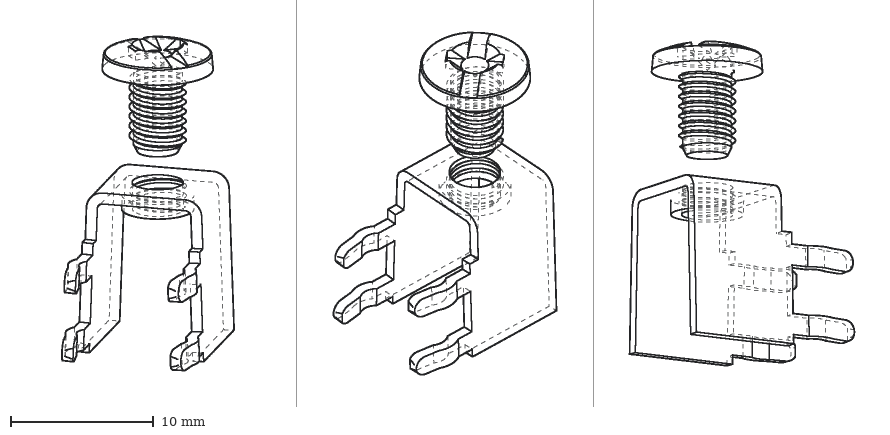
import cadquery as cq
import math

clip_height = 11.53
sheet = 0.8
splay = 2.0
foot_half_width = 4.56
bend_outer = 1.2
bend_inner = bend_outer - sheet
back_y = 3.6
top_front_y = -3.55
leg_front_y = -4.35
shoulder_z = 8.0

prong_width = 1.52
prong_pitch = 5.0
prong_rows = 2
prong_root = 0.8
lower_prong_z = 1.4
prong_tip_y = -9.45
bulge_start_y = -5.62
bulge_peak_y = -6.5
bulge_end_y = -7.51
bulge_height = 0.285
bulge_end_height = 0.09
inner_bulge_start_y = -5.92
inner_bulge_end_y = -7.38
prong_slant = 8.0

boss_radius = 2.53
boss_drop = 1.94
boss_fillet = 0.2

thread_pitch = 0.7
thread_flank = 35.0
overlap = 0.05

hole_radius = 1.79
hole_thread_radius = 2.0
hole_thread_drop = 0.225
hole_thread_turns = 2
hole_thread_angle = 0.0

screw_top = 21.62
head_height = 1.8
head_radius = 3.9
rim_radius = 3.8
rim_drop = 0.72
dome_edge_radius = 3.69
dome_sphere = 9.1

screw_length = 7.8
shank_radius = 1.72
neck_fillet = 0.2
tip_radius = 1.44
tip_length = 0.55
screw_thread_radius = 2.0
screw_thread_drop = 2.15
screw_thread_turns = 7

recess_angle = 40.6
recess_radius = 1.8
recess_depth = 0.7
drill_radius = 0.97
drill_depth = 1.0
slot_width = 1.24
arm_width = 1.2
arm_reach = 2.01


def left_thread(root, crest, turns, bottom_z, angle):
    """V-shaped left-hand helical thread from the root radius to the crest radius.

    The crest may lie outside the root (a ridge) or the root may be the wall of a hole (a groove).
    The lower end of the helix sits at bottom_z, in the direction given by angle.
    """
    height = crest - root
    sunk_root = root - overlap
    half_base = (height + overlap) * math.tan(math.radians(thread_flank))
    path = cq.Wire.makeHelix(thread_pitch, turns * thread_pitch, root, lefthand=True)
    profile = (
        cq.Workplane("XZ")
        .polyline([(sunk_root, -half_base), (crest, 0), (sunk_root, half_base)])
        .close()
    )
    thread = profile.sweep(cq.Workplane(path), isFrenet=True)
    return thread.rotate((0, 0, 0), (0, 0, 1), angle).translate((0, 0, bottom_z))


lean = math.radians(splay)
bend_z = clip_height - bend_outer
leg_length = (bend_z + bend_inner * math.sin(lean)) / math.cos(lean)
bend_x = foot_half_width - bend_outer * math.cos(lean) - leg_length * math.sin(lean)


def prong(mid_z):
    """Bulged prong along -Y on an upright leg whose outer face lies at X = 0."""
    slant = math.radians(prong_slant)
    root_y = leg_front_y + prong_root
    tip_outer_x = bulge_end_height + (prong_tip_y - bulge_end_y) * math.tan(slant)
    tip_inner_x = tip_outer_x - sheet * math.cos(slant)
    tip_inner_y = prong_tip_y + sheet * math.sin(slant)
    inner_bulge_end_x = tip_inner_x + (inner_bulge_end_y - tip_inner_y) * math.tan(slant)
    half = prong_width / 2
    strip = (
        cq.Workplane("XY")
        .moveTo(0, root_y)
        .lineTo(0, bulge_start_y)
        .threePointArc((bulge_height, bulge_peak_y), (bulge_end_height, bulge_end_y))
        .lineTo(tip_outer_x, prong_tip_y)
        .lineTo(tip_inner_x, tip_inner_y)
        .lineTo(inner_bulge_end_x, inner_bulge_end_y)
        .threePointArc((bulge_height - sheet, bulge_peak_y), (-sheet, inner_bulge_start_y))
        .lineTo(-sheet, root_y)
        .close()
        .extrude(half, both=True)
    )
    round_y = prong_tip_y + half
    rounded_outline = (
        cq.Workplane("YZ")
        .moveTo(root_y, -half)
        .lineTo(round_y, -half)
        .threePointArc((prong_tip_y, 0), (round_y, half))
        .lineTo(root_y, half)
        .close()
        .extrude(2 * sheet, both=True)
    )
    return strip.intersect(rounded_outline).translate((0, 0, mid_z))


def leg():
    """Right-hand leg with its prongs, leaning outward about the bend axis."""
    foot_z = bend_z - leg_length
    plate = (
        cq.Workplane("YZ")
        .polyline([
            (back_y, bend_z), (back_y, foot_z), (leg_front_y, foot_z),
            (leg_front_y, shoulder_z), (top_front_y, shoulder_z), (top_front_y, bend_z),
        ])
        .close()
        .extrude(-sheet)
    )
    for row in range(prong_rows):
        plate = plate.union(prong(lower_prong_z + row * prong_pitch))
    upright = plate.translate((bend_x + bend_outer, 0, 0))
    return upright.rotate((bend_x, 0, bend_z), (bend_x, -1, bend_z), splay)


def bend():
    """Right-hand bend joining the top plate to a leg."""
    def polar(radius, degrees):
        angle = math.radians(degrees)
        return (bend_x + radius * math.cos(angle), bend_z + radius * math.sin(angle))

    middle = 45 + splay / 2
    return (
        cq.Workplane("XZ", origin=(0, back_y, 0))
        .moveTo(*polar(bend_outer, splay))
        .threePointArc(polar(bend_outer, middle), polar(bend_outer, 90))
        .lineTo(*polar(bend_inner, 90))
        .threePointArc(polar(bend_inner, middle), polar(bend_inner, splay))
        .close()
        .extrude(back_y - top_front_y)
    )


top_plate = (
    cq.Workplane("XY", origin=(0, 0, clip_height - sheet))
    .rect(2 * bend_x, back_y - top_front_y)
    .extrude(sheet)
    .translate((0, (back_y + top_front_y) / 2, 0))
)
right_side = bend().union(leg())
clip = top_plate.union(right_side).union(right_side.mirror("YZ"))


def boss():
    """Extruded collar under the top plate, flared where it meets the sheet."""
    under_z = clip_height - sheet
    flare = boss_radius + boss_fillet
    knee = boss_fillet * (1 - math.sqrt(0.5))
    return (
        cq.Workplane("XZ")
        .moveTo(0, under_z)
        .lineTo(flare, under_z)
        .threePointArc((boss_radius + knee, under_z - knee), (boss_radius, under_z - boss_fillet))
        .lineTo(boss_radius, clip_height - boss_drop)
        .lineTo(0, clip_height - boss_drop)
        .close()
        .revolve()
    )


groove = left_thread(
    hole_radius,
    hole_thread_radius,
    hole_thread_turns,
    clip_height - hole_thread_drop - hole_thread_turns * thread_pitch,
    hole_thread_angle,
)
clip = clip.union(boss())
clip = clip.cut(cq.Workplane("XY").circle(hole_radius).extrude(clip_height))
clip = clip.cut(groove)

seat_z = screw_top - head_height
shank_end_z = screw_top - screw_length
rim_z = screw_top - rim_drop
floor_z = screw_top - recess_depth


def blank():
    """Unthreaded screw: domed head, shank and tapered tip."""
    dome_center_z = screw_top - math.sqrt(dome_sphere**2 - recess_radius**2)

    def dome_z(radius):
        return dome_center_z + math.sqrt(dome_sphere**2 - radius**2)

    knee = neck_fillet * (1 - math.sqrt(0.5))
    half_edge = dome_edge_radius / 2
    return (
        cq.Workplane("XZ")
        .moveTo(0, shank_end_z)
        .lineTo(tip_radius, shank_end_z)
        .lineTo(shank_radius, shank_end_z + tip_length)
        .lineTo(shank_radius, seat_z - neck_fillet)
        .threePointArc((shank_radius + knee, seat_z - knee), (shank_radius + neck_fillet, seat_z))
        .lineTo(head_radius, seat_z)
        .lineTo(rim_radius, rim_z)
        .lineTo(dome_edge_radius, dome_z(dome_edge_radius))
        .threePointArc((half_edge, dome_z(half_edge)), (0, dome_z(0)))
        .close()
        .revolve()
    )


def recess():
    """Conical drive recess with a full-width slot and two short cross arms."""
    cut_height = 2 * recess_depth
    mouth_slope = (recess_radius - drill_radius) / recess_depth
    cone = (
        cq.Workplane("XZ")
        .polyline([
            (0, floor_z - drill_depth),
            (drill_radius, floor_z),
            (drill_radius + mouth_slope * cut_height, floor_z + cut_height),
            (0, floor_z + cut_height),
        ])
        .close()
        .revolve()
    )
    floor = cq.Workplane("XY", origin=(0, 0, floor_z))
    slot = floor.rect(slot_width, 2 * head_radius).extrude(cut_height)
    arms = floor.rect(2 * arm_reach, arm_width).extrude(cut_height)
    return cone.union(slot.union(arms).rotate((0, 0, 0), (0, 0, 1), recess_angle))


thread_top_z = screw_top - screw_thread_drop
thread = left_thread(
    shank_radius,
    screw_thread_radius,
    screw_thread_turns,
    thread_top_z - screw_thread_turns * thread_pitch,
    recess_angle,
)
screw = blank().cut(recess()).union(thread)

result = cq.Compound.makeCompound([clip.val(), screw.val()])